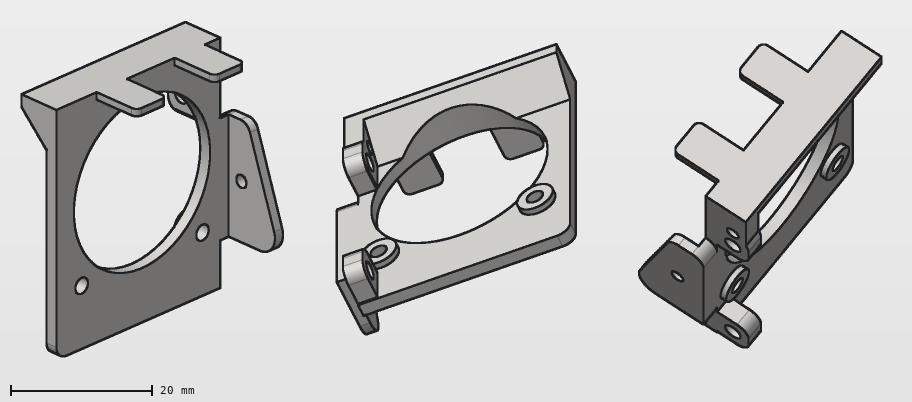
import cadquery as cq

plate_thickness = 2.0
plate_width = 32.53
height = 39.43
corner_radius = 2.0
opening_diameter = 27.0
opening_y = 17.0
opening_z = 22.1

header_depth = 5.0
header_lip = 2.0

lug_reach = 5.5
lug_width = 3.0
lug_height = 6.0
lug_radius = 2.0
lug_hole_diameter = 2.7
lower_lug_z = 3.3
upper_lug_z = 29.8
pin_hole_diameter = 2.0
pin_hole_z = 33.45

boss_diameter = 5.5
boss_height = 1.0
boss_hole_diameter = 2.5
boss_z = 9.98
boss_spacing = 23.97

tab_length = 8.0
tab_width = 6.0
tab_thickness = 1.2
tab_radius = 1.0
tab_centers_y = (11.0, 26.45)

overall_width = 35.8
wing_thickness = 1.6
wing_bottom = 7.5
wing_top = 26.77
wing_top_corner_x = 5.8
wing_bottom_corner_x = 12.5
wing_top_radius = 2.0
wing_bottom_radius = 3.0
wing_hole_diameter = 2.0
wing_hole_x = 4.55
wing_hole_z = 17.1

lug_inner_y = plate_width - lug_width
lug_hole_x = -lug_reach / 2


def box(x_range, y_range, z_range):
    """Box spanning the given (min, max) ranges."""
    spans = [high - low for low, high in (x_range, y_range, z_range)]
    corner = (x_range[0], y_range[0], z_range[0])
    return cq.Workplane("XY").box(*spans, centered=False).translate(corner)


def extrude_y(sketch, y_start, y_end):
    """Extrude an XZ outline, built by sketch(workplane), from y_start to y_end."""
    return sketch(cq.Workplane("XZ", origin=(0, y_end, 0))).extrude(y_end - y_start)


def y_hole(x, z, diameter, y_start, y_end):
    return extrude_y(lambda plane: plane.center(x, z).circle(diameter / 2), y_start, y_end)


def x_cylinder(y, z, diameter, x_start, x_end):
    plane = cq.Workplane("YZ", origin=(x_start, y, z))
    return plane.circle(diameter / 2).extrude(x_end - x_start)


def make_plate():
    plate = box((0, plate_thickness), (0, plate_width), (0, height))
    return plate.edges("|X and <Y and <Z").fillet(corner_radius)


def make_header():
    lip_bottom = height - header_lip
    outline = [
        (0, height),
        (-header_depth, height),
        (-header_depth, lip_bottom),
        (0, lip_bottom - header_depth),
    ]
    return extrude_y(lambda plane: plane.polyline(outline).close(), 0, plate_width)


def make_lug(center_z):
    z_range = (center_z - lug_height / 2, center_z + lug_height / 2)
    lug = box((-lug_reach, 0), (lug_inner_y, plate_width), z_range)
    return lug.edges("|Y and <X").fillet(lug_radius)


def make_lug_web():
    """Solid wall joining the upper lug to the header."""
    return box((-header_depth, 0), (lug_inner_y, plate_width), (upper_lug_z, height))


def make_tab(center_y):
    x_end = plate_thickness + tab_length
    y_range = (center_y - tab_width / 2, center_y + tab_width / 2)
    tab = box((plate_thickness, x_end), y_range, (height - tab_thickness, height))
    return tab.edges("|Z and >X").fillet(tab_radius)


def extension_outline(plane):
    """Plate profile whose front top edge is rounded over the full thickness."""
    outline = plane.moveTo(0, wing_bottom).lineTo(plate_thickness, wing_bottom)
    outline = outline.lineTo(plate_thickness, wing_top)
    return outline.radiusArc((0, wing_top - plate_thickness), -plate_thickness).close()


def make_wing():
    outline = [
        (plate_thickness, wing_bottom),
        (wing_bottom_corner_x, wing_bottom),
        (wing_top_corner_x, wing_top),
        (plate_thickness, wing_top),
    ]
    wing_start = overall_width - wing_thickness
    wing = extrude_y(lambda plane: plane.polyline(outline).close(), wing_start, overall_width)
    wing_middle_y = overall_width - wing_thickness / 2
    top_corner = cq.selectors.NearestToPointSelector((wing_top_corner_x, wing_middle_y, wing_top))
    wing = wing.edges("|Y and >X").fillet(wing_bottom_radius)
    wing = wing.edges(top_corner).fillet(wing_top_radius)
    hole = y_hole(wing_hole_x, wing_hole_z, wing_hole_diameter, wing_start, overall_width)
    return wing.cut(hole)


result = make_plate().union(make_header()).union(make_lug_web()).union(make_wing())
result = result.union(extrude_y(extension_outline, plate_width, overall_width))
for lug_z in (lower_lug_z, upper_lug_z):
    result = result.union(make_lug(lug_z))
for tab_y in tab_centers_y:
    result = result.union(make_tab(tab_y))

result = result.cut(x_cylinder(opening_y, opening_z, opening_diameter, -lug_reach, plate_thickness))

for side in (-1, 1):
    boss_y = opening_y + side * boss_spacing / 2
    result = result.union(x_cylinder(boss_y, boss_z, boss_diameter, -boss_height, 0))
    result = result.cut(x_cylinder(boss_y, boss_z, boss_hole_diameter, -boss_height, plate_thickness))

for lug_z in (lower_lug_z, upper_lug_z):
    result = result.cut(y_hole(lug_hole_x, lug_z, lug_hole_diameter, lug_inner_y, plate_width))
result = result.cut(y_hole(lug_hole_x, pin_hole_z, pin_hole_diameter, 0, plate_width))